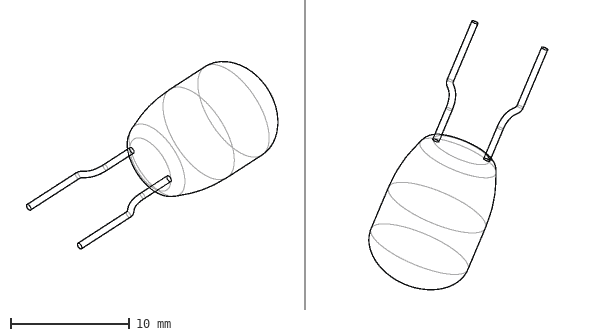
import cadquery as cq
import math

total_length = 23.65
body_radius = 4.45

dome_height = 3.08
barrel_end = 7.07
taper_end = 11.85
base_end = 12.6
lead_bend_start = 15.65
lead_bend_end = 18.05

taper_end_radius = 3.48
base_flat_radius = 2.55

lead_radius = 0.28
lead_inner_x = 2.32
lead_outer_x = 3.17
lead_embed = 0.47
kink_offset = 0.57
kink_distance = 1.87

dome_tip_y = total_length / 2


def y_at(distance):
    """Y position of a point at the given distance from the dome tip."""
    return dome_tip_y - distance


def make_body():
    """Revolved capsule: elliptical dome, straight barrel, curved taper and rounded base."""
    taper_length = taper_end - barrel_end
    taper_drop = body_radius - taper_end_radius
    taper_slope = 2 * math.atan2(taper_drop, taper_length)
    profile = (
        cq.Workplane("XY")
        .moveTo(0, y_at(base_end))
        .lineTo(0, dome_tip_y)
        .ellipseArc(body_radius, dome_height, 0, 90, sense=-1)
        .lineTo(body_radius, y_at(barrel_end))
        .tangentArcPoint((taper_end_radius, y_at(taper_end)), relative=False)
        .spline(
            [(base_flat_radius, y_at(base_end))],
            tangents=[(-math.sin(taper_slope), -math.cos(taper_slope)), (-1, 0)],
            includeCurrent=True,
        )
        .close()
    )
    return profile.revolve(360, (0, 0, 0), (0, 1, 0))


def make_lead():
    """Round wire on the +X side, kinked outward by a smooth S-bend."""
    start_y = y_at(base_end - lead_embed)
    path = (
        cq.Workplane("XY")
        .moveTo(lead_inner_x, start_y)
        .lineTo(lead_inner_x, y_at(lead_bend_start))
        .spline(
            [
                (lead_inner_x + kink_offset, y_at(lead_bend_start + kink_distance)),
                (lead_outer_x, y_at(lead_bend_end)),
            ],
            tangents=[(0, -1), (0, -1)],
            includeCurrent=True,
        )
        .lineTo(lead_outer_x, y_at(total_length))
    )
    section = cq.Workplane("XZ", origin=(lead_inner_x, start_y, 0))
    return section.circle(lead_radius).sweep(path)


lead = make_lead()
result = make_body().union(lead).union(lead.mirror("YZ"))